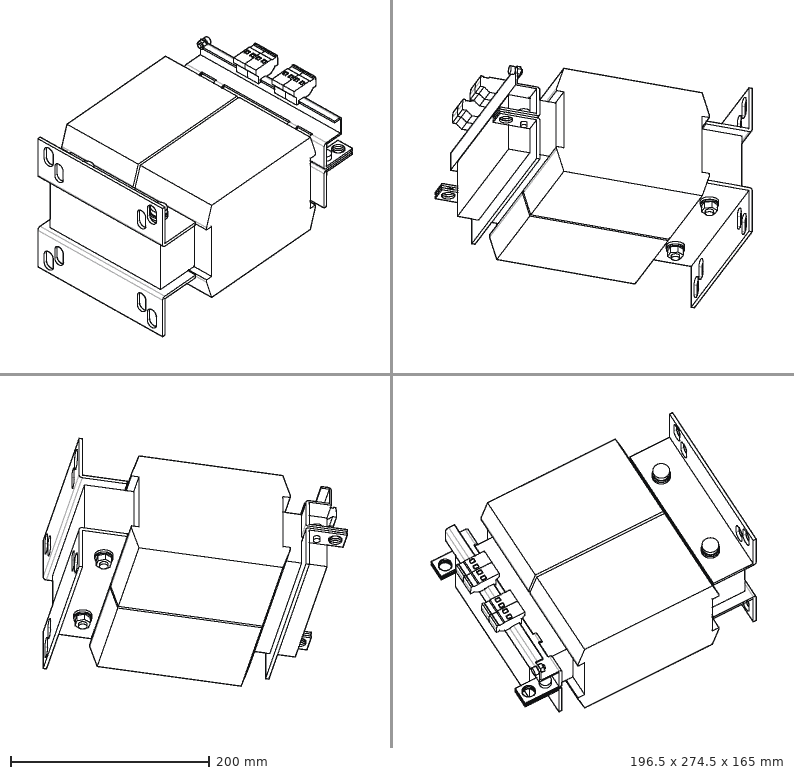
import cadquery as cq
import math

LENGTH = 274.5
WIDTH = 196.5
HEIGHT = 165.0
FRONT_Y = -LENGTH / 2
BACK_Y = LENGTH / 2

CORE_WIDTH = 150.0
CORE_HALF_Z = 31.3
CORE_FRONT_Y = -129.5
CORE_BACK_Y = 120.8
YOKE_FRONT_Y = -78.5
YOKE_BACK_Y = 70.0
LEG_WIDTH = 50.0

COIL_GAP = 2.7
COIL_HALF_Z = 59.3
FLAP_OVERHANG = 7.7
FLAP_BASE_Z = 32.0
FLAP_EDGE = 3.0

FOOT_WIDTH = 169.5
FOOT_THICKNESS = 3.5
FOOT_BEND = 3.3
FOOT_CLEARANCE = 1.5
OUTER_SLOT_X = 70.0
OUTER_SLOT_Z = 66.7
OUTER_SLOT_WIDTH = 12.0
INNER_SLOT_X = 56.0
INNER_SLOT_Z = 53.3
INNER_SLOT_WIDTH = 11.3
SLOT_LENGTH = 22.8

BOLT_X = 49.7
BOLT_Y = -104.0
BOLT_DIAMETER = 8.5
BOLT_END_Z = -50.0
BOLT_HEAD_DIAMETER = 17.0
BOLT_HEAD_TOP = 46.0
WASHER_DIAMETER = 18.7
TOP_WASHER_HEIGHT = 3.0
COLLAR_DIAMETER = 15.0
COLLAR_HEIGHT = 1.5
BOTTOM_WASHER_HEIGHT = 2.7
SPRING_WASHER_DIAMETER = 18.0
SPRING_WASHER_HEIGHT = 1.6
NUT_FLATS = 14.0
NUT_HEIGHT = 6.9

BRACKET_WIDTH = 190.0
EAR_FRONT_Y = 94.5
EAR_THICKNESS = 3.5
EAR_BEND = 3.3
TAB_THICKNESS = 2.5
TAB_GAP = 2.5
BRACKET_BOTTOM_Z = -48.0
TAB_HOLE_X = 84.5
TAB_HOLE_Y = 127.0
TAB_HOLE_DIAMETER = 13.5
TAB_SCREW_Y = 108.0
TAB_SCREW_DIAMETER = 6.5
TAB_SCREW_HEAD = 12.4
TAB_SCREW_HEAD_HEIGHT = 5.5
TAB_SCREW_END_Z = -7.5
LUG_X = 50.0
LUG_WIDTH = 11.0
NOTCH_BACK_Y = 98.8

RAIL_THICKNESS = 2.2
RAIL_TOP_Z = 54.5
RAIL_FRONT_Y = 110.0
RAIL_START_X = -84.0
RAIL_BEND = 3.8

EARTH_X = -90.9
EARTH_Z = 50.8
EARTH_HEAD_DIAMETER = 8.5
EARTH_NUT_FLATS = 8.5
EARTH_HEAD_HEIGHT = 4.7
EARTH_NUT_HEIGHT = 4.0
EARTH_DIAMETER = 4.7
EARTH_STUB = 2.0

TERMINAL_PITCH = 15.0
TERMINAL_SEAM = 0.15
TERMINALS_PER_GROUP = 2
TERMINAL_GROUP_X = (-36.2, 15.6)
TERMINAL_TOP_Z = 70.3
WELL_Y = 120.0
WELL_WIDTH = 3.8
WELL_LENGTH = 5.0
WELL_DEPTH = 1.5
WELL_SPACING = 7.5


def box(x_range, y_range, z_range):
    size = [high - low for low, high in (x_range, y_range, z_range)]
    return cq.Workplane("XY").box(*size, centered=False).translate((x_range[0], y_range[0], z_range[0]))


def mirrored_pair(solid, plane):
    return solid.union(solid.mirror(plane))


def extrude_along_x(points, x_start, width):
    """Prism with a (Y, Z) outline."""
    return cq.Workplane("YZ").workplane(offset=x_start).polyline(points).close().extrude(width)


def cylinder(x, y, diameter, z_low, z_high):
    return cq.Workplane("XY", origin=(x, y, z_low)).circle(diameter / 2).extrude(z_high - z_low)


def hexagon_diameter(flats):
    return flats / math.cos(math.pi / 6)


def make_core():
    half = CORE_WIDTH / 2
    z_range = (-CORE_HALF_Z, CORE_HALF_Z)
    core = box((-half, half), (CORE_FRONT_Y, CORE_BACK_Y), z_range)
    window_half = half - LEG_WIDTH
    return core.cut(box((-window_half, window_half), (YOKE_FRONT_Y, YOKE_BACK_Y), z_range))


def make_coils():
    """Coil blocks filling the core window, with sloping flaps over and under the yokes."""
    start = COIL_GAP / 2
    width = (WIDTH - COIL_GAP) / 2
    front = YOKE_FRONT_Y
    back = YOKE_BACK_Y
    upper_outline = [
        (front, 0),
        (front, FLAP_BASE_Z),
        (front - FLAP_OVERHANG, FLAP_BASE_Z),
        (front - FLAP_OVERHANG, FLAP_BASE_Z + FLAP_EDGE),
        (front, COIL_HALF_Z),
        (back, COIL_HALF_Z),
        (back + FLAP_OVERHANG, FLAP_BASE_Z + FLAP_EDGE),
        (back + FLAP_OVERHANG, FLAP_BASE_Z),
        (back, FLAP_BASE_Z),
        (back, 0),
    ]
    coil = mirrored_pair(extrude_along_x(upper_outline, start, width), "XY")
    return mirrored_pair(coil, "YZ")


def foot_slots(x, z, width):
    return (
        cq.Workplane("XZ", origin=(0, FRONT_Y + FOOT_THICKNESS, 0))
        .pushPoints([(-x, z), (x, z)])
        .slot2D(SLOT_LENGTH, width, 90)
        .extrude(FOOT_THICKNESS)
    )


def make_feet():
    half = FOOT_WIDTH / 2
    base = FLAP_BASE_Z
    plate_back = YOKE_FRONT_Y - FLAP_OVERHANG - FOOT_CLEARANCE
    plate = box((-half, half), (FRONT_Y, plate_back), (base, base + FOOT_THICKNESS))
    flange = box((-half, half), (FRONT_Y, FRONT_Y + FOOT_THICKNESS), (base, HEIGHT / 2))
    foot = plate.union(flange).edges("|X and <Y and <Z").fillet(FOOT_BEND)
    foot = foot.cut(foot_slots(OUTER_SLOT_X, OUTER_SLOT_Z, OUTER_SLOT_WIDTH))
    foot = foot.cut(foot_slots(INNER_SLOT_X, INNER_SLOT_Z, INNER_SLOT_WIDTH))
    return mirrored_pair(foot, "XY")


def make_clamping_bolts():
    plate_top = FLAP_BASE_Z + FOOT_THICKNESS
    washer_top = plate_top + TOP_WASHER_HEIGHT
    collar_top = washer_top + COLLAR_HEIGHT
    washer_bottom = -plate_top - BOTTOM_WASHER_HEIGHT
    nut_top = washer_bottom - SPRING_WASHER_HEIGHT
    bolt = cylinder(BOLT_X, BOLT_Y, BOLT_DIAMETER, BOLT_END_Z, collar_top)
    bolt = bolt.union(cylinder(BOLT_X, BOLT_Y, WASHER_DIAMETER, plate_top, washer_top))
    bolt = bolt.union(cylinder(BOLT_X, BOLT_Y, COLLAR_DIAMETER, washer_top, collar_top))
    bolt = bolt.union(cylinder(BOLT_X, BOLT_Y, BOLT_HEAD_DIAMETER, collar_top, BOLT_HEAD_TOP))
    bolt = bolt.union(cylinder(BOLT_X, BOLT_Y, WASHER_DIAMETER, washer_bottom, -plate_top))
    bolt = bolt.union(cylinder(BOLT_X, BOLT_Y, SPRING_WASHER_DIAMETER, nut_top, washer_bottom))
    nut = (
        cq.Workplane("XY", origin=(BOLT_X, BOLT_Y, nut_top))
        .polygon(6, hexagon_diameter(NUT_FLATS))
        .extrude(-NUT_HEIGHT)
    )
    return mirrored_pair(bolt.union(nut), "YZ")


def make_tabs(z_low, ear_z, bend_edge):
    """Pair of horizontal tabs beside the core, each with a vertical ear at its front end."""
    x_range = (CORE_WIDTH / 2, BRACKET_WIDTH / 2)
    ear_y = (EAR_FRONT_Y, EAR_FRONT_Y + EAR_THICKNESS)
    tab = box(x_range, (EAR_FRONT_Y, BACK_Y), (z_low, z_low + TAB_THICKNESS))
    tab = tab.union(box(x_range, ear_y, ear_z))
    tab = tab.edges("|X and <Y").edges(bend_edge).fillet(TAB_THICKNESS)
    tab = tab.cut(cylinder(TAB_HOLE_X, TAB_HOLE_Y, TAB_HOLE_DIAMETER, z_low, z_low + TAB_THICKNESS))
    return mirrored_pair(tab, "YZ")


def make_tab_screws():
    tab_top = TAB_GAP / 2 + TAB_THICKNESS
    screw = cylinder(TAB_HOLE_X, TAB_SCREW_Y, TAB_SCREW_DIAMETER, TAB_SCREW_END_Z, tab_top)
    head = cylinder(TAB_HOLE_X, TAB_SCREW_Y, TAB_SCREW_HEAD, tab_top, tab_top + TAB_SCREW_HEAD_HEIGHT)
    return mirrored_pair(screw.union(head), "YZ")


def make_rail():
    """Shelf over the rear yoke, upright web and the top flange carrying the terminals."""
    half = BRACKET_WIDTH / 2
    core_half = CORE_WIDTH / 2
    shelf_z = (FLAP_BASE_Z, FLAP_BASE_Z + RAIL_THICKNESS)
    bend_z = (shelf_z[1] - EAR_THICKNESS, shelf_z[1])
    ear_back_y = EAR_FRONT_Y + EAR_THICKNESS
    web_y = (CORE_BACK_Y - RAIL_THICKNESS, CORE_BACK_Y)
    shelf = box((-half, half), (EAR_FRONT_Y, CORE_BACK_Y), shelf_z)
    shelf = shelf.union(box((-half, half), (EAR_FRONT_Y, ear_back_y), bend_z))
    shelf = shelf.edges("|X and <Y and >Z").fillet(EAR_BEND)
    lug_inner = LUG_X - LUG_WIDTH / 2
    lug_outer = LUG_X + LUG_WIDTH / 2
    for notch_x in ((-core_half, -lug_outer), (-lug_inner, lug_inner), (lug_outer, core_half)):
        shelf = shelf.cut(box(notch_x, (EAR_FRONT_Y, NOTCH_BACK_Y), bend_z))
    web = box((-half, half), web_y, (FLAP_BASE_Z, RAIL_TOP_Z))
    flange_z = (RAIL_TOP_Z - RAIL_THICKNESS, RAIL_TOP_Z)
    flange = box((RAIL_START_X, half), (RAIL_FRONT_Y, CORE_BACK_Y), flange_z)
    return shelf.union(web.union(flange).edges("|X and >Y and >Z").fillet(RAIL_BEND))


def make_rear_brackets():
    """Upper bracket with the terminal rail, and lower bracket joined by a bar below the yoke."""
    upper_tab_z = TAB_GAP / 2
    lower_tab_z = -TAB_GAP / 2 - TAB_THICKNESS
    upper_ear_z = (upper_tab_z, FLAP_BASE_Z + RAIL_THICKNESS - EAR_THICKNESS)
    lower_ear_z = (BRACKET_BOTTOM_Z, -upper_tab_z)
    upper = make_rail().union(make_tabs(upper_tab_z, upper_ear_z, "<Z"))
    lower = make_tabs(lower_tab_z, lower_ear_z, ">Z")
    half = BRACKET_WIDTH / 2
    ear_y = (EAR_FRONT_Y, EAR_FRONT_Y + EAR_THICKNESS)
    crossbar = box((-half, half), ear_y, (BRACKET_BOTTOM_Z, -CORE_HALF_Z))
    return upper.union(lower).union(crossbar)


def make_earthing_screw():
    web_front = CORE_BACK_Y - RAIL_THICKNESS
    head_top = CORE_BACK_Y + EARTH_HEAD_HEIGHT
    shank_length = head_top - web_front + EARTH_NUT_HEIGHT + EARTH_STUB
    head_plane = cq.Workplane("XZ", origin=(EARTH_X, head_top, EARTH_Z))
    nut_plane = cq.Workplane("XZ", origin=(EARTH_X, web_front, EARTH_Z))
    head = head_plane.circle(EARTH_HEAD_DIAMETER / 2).extrude(EARTH_HEAD_HEIGHT)
    shank = head_plane.circle(EARTH_DIAMETER / 2).extrude(shank_length)
    nut = nut_plane.polygon(6, hexagon_diameter(EARTH_NUT_FLATS)).extrude(EARTH_NUT_HEIGHT)
    return head.union(shank).union(nut)


def make_terminal():
    """One terminal block with its left side at X = 0 and two wire wells in its top."""
    outline = [
        (136.2, TERMINAL_TOP_Z),
        (137.0, 64.0),
        (137.0, 58.0),
        (132.9, 58.0),
        (126.8, 52.7),
        (114.0, 52.7),
        (114.0, 50.5),
        (107.5, 50.5),
        (107.5, 59.5),
        (103.8, 64.0),
        (103.8, TERMINAL_TOP_Z),
        (127.0, TERMINAL_TOP_Z),
        (128.2, 69.2),
        (133.5, 69.2),
        (134.2, TERMINAL_TOP_Z),
    ]
    width = TERMINAL_PITCH - TERMINAL_SEAM
    terminal = extrude_along_x(outline, 0, width)
    for x in (width / 2 - WELL_SPACING / 2, width / 2 + WELL_SPACING / 2):
        well_x = (x - WELL_WIDTH / 2, x + WELL_WIDTH / 2)
        well_y = (WELL_Y - WELL_LENGTH / 2, WELL_Y + WELL_LENGTH / 2)
        terminal = terminal.cut(box(well_x, well_y, (TERMINAL_TOP_Z - WELL_DEPTH, TERMINAL_TOP_Z)))
    return terminal


result = make_core().union(make_coils()).union(make_feet()).union(make_clamping_bolts())
result = result.union(make_rear_brackets()).union(make_tab_screws()).union(make_earthing_screw())
for group_x in TERMINAL_GROUP_X:
    for index in range(TERMINALS_PER_GROUP):
        result = result.union(make_terminal().translate((group_x + index * TERMINAL_PITCH, 0, 0)))